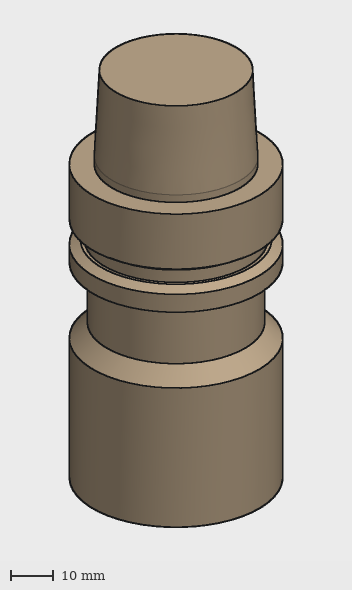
import cadquery as cq

total_height = 108.0
body_height = 36.9
flange_bottom = 57.0
groove_bottom = 61.8
groove_floor_bottom = 63.1
groove_floor_top = 66.9
groove_top = 68.5
flange_top = 83.0
taper_start = 85.1

outer_diameter = 50.0
neck_diameter = 41.6
groove_diameter = 43.0
groove_shoulder_diameter = 44.8
shank_diameter = 38.3
shank_top_diameter = 36.0

outer_radius = outer_diameter / 2
neck_radius = neck_diameter / 2
groove_radius = groove_diameter / 2
groove_shoulder_radius = groove_shoulder_diameter / 2
shank_radius = shank_diameter / 2
shank_top_radius = shank_top_diameter / 2

shoulder_top = body_height + outer_radius - neck_radius

profile = [
    (0, 0),
    (outer_radius, 0),
    (outer_radius, body_height),
    (neck_radius, shoulder_top),
    (neck_radius, flange_bottom),
    (outer_radius, flange_bottom),
    (outer_radius, groove_bottom),
    (groove_shoulder_radius, groove_floor_bottom),
    (groove_radius, groove_floor_bottom),
    (groove_radius, groove_floor_top),
    (groove_shoulder_radius, groove_floor_top),
    (outer_radius, groove_top),
    (outer_radius, flange_top),
    (shank_radius, flange_top),
    (shank_radius, taper_start),
    (shank_top_radius, total_height),
    (0, total_height),
]

result = cq.Workplane("XZ").polyline(profile).close().revolve(360, (0, 0, 0), (0, 1, 0))